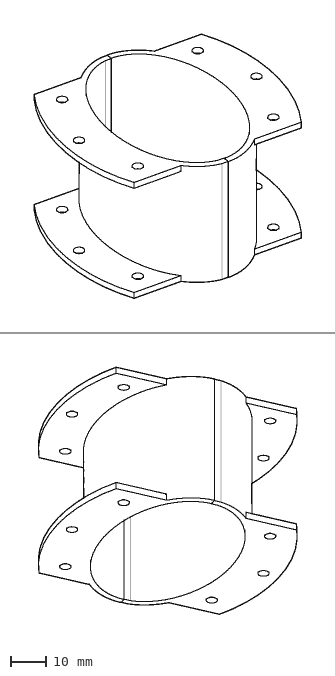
import cadquery as cq

height = 40.0
wall = 2.0
bore_radius_x = 30.0
bore_radius_y = 20.0
flange_reach = 14.95
flange_width = 52.8
lip_length = 2.0
hole_diameter = 3.2
middle_hole_y = 30.0
side_hole_x = 20.0
side_hole_y = 22.9

tube_radius_x = bore_radius_x + wall
tube_radius_y = bore_radius_y + wall
rim_radius_x = bore_radius_x + flange_reach
rim_radius_y = bore_radius_y + flange_reach
flange_bases = [0, height - wall]
box_size = 2 * rim_radius_x


def elliptic_cylinder(radius_x, radius_y, length, base=0):
    return cq.Workplane("XY").workplane(offset=base).ellipse(radius_x, radius_y).extrude(length)


def flange(base):
    """Elliptic plate trimmed to straight sides, with holes for both shells."""
    plate = elliptic_cylinder(rim_radius_x, rim_radius_y, wall, base)
    trim = cq.Workplane("XY").workplane(offset=base).rect(flange_width, box_size).extrude(wall)
    hole_points = []
    for side in (-1, 1):
        hole_points.append((0, side * middle_hole_y))
        hole_points.append((-side_hole_x, side * side_hole_y))
        hole_points.append((side_hole_x, side * side_hole_y))
    holes = (
        cq.Workplane("XY").workplane(offset=base)
        .pushPoints(hole_points).circle(hole_diameter / 2).extrude(wall)
    )
    return plate.intersect(trim).cut(holes)


def flanged_tube():
    """Full elliptic tube with a flange at each end, before it is split."""
    tube = elliptic_cylinder(tube_radius_x, tube_radius_y, height)
    for base in flange_bases:
        tube = tube.union(flange(base))
    return tube.cut(elliptic_cylinder(bore_radius_x, bore_radius_y, height))


def half_space(joint_y, direction):
    """Box that covers the part on one side of the plane Y = joint_y."""
    return (
        cq.Workplane("XY").center(0, joint_y + direction * box_size / 2)
        .rect(box_size, box_size).extrude(height)
    )


def make_rear_shell():
    return flanged_tube().intersect(half_space(0, 1))


def make_front_shell():
    """Shell cut short of the joint, its end faces extended straight up to it."""
    shell = flanged_tube().intersect(half_space(-lip_length, -1))
    for end_face in shell.faces(">Y").vals():
        lip = cq.Solid.extrudeLinear(end_face, cq.Vector(0, lip_length, 0))
        shell = shell.union(cq.Workplane(lip))
    return shell


rear_shell = make_rear_shell()
front_shell = make_front_shell()

result = cq.Compound.makeCompound([rear_shell.solids().val(), front_shell.solids().val()])